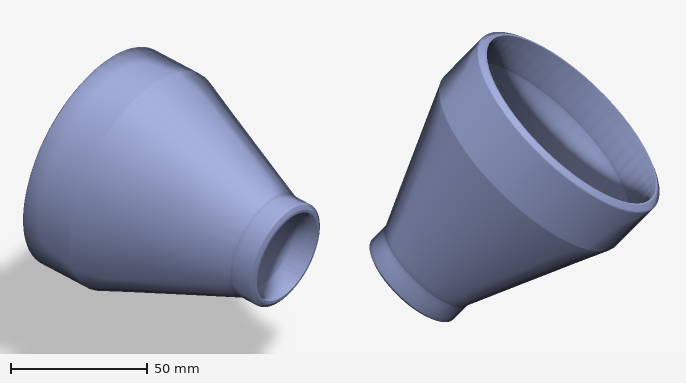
import cadquery as cq
import math

length = 90.0
large_outer_radius = 88.9 / 2
large_bore_radius = 82.5 / 2
small_outer_radius = 42.0 / 2
small_bore_radius = 36.0 / 2
large_end_length = 23.0
small_end_length = 9.7
large_bore_depth = 14.85

bevel_angle = math.radians(30)
large_land = 0.8
small_land = 1.1

edge_round = 1.0
selection_margin = 0.1


def bevel_depth(outer_radius, bore_radius, land):
    """Axial depth of the bevel that leaves the flat land on the end face."""
    return (outer_radius - bore_radius - land) * math.tan(bevel_angle)


def edge_at(x, radius):
    """Selector for the circular edge of the given radius at axial position x."""
    reach = radius + selection_margin
    low_corner = (x - selection_margin, -reach, -reach)
    high_corner = (x + selection_margin, reach, reach)
    return cq.selectors.BoxSelector(low_corner, high_corner, boundingbox=True)


large_bevel_end = bevel_depth(large_outer_radius, large_bore_radius, large_land)
small_bevel_start = length - bevel_depth(small_outer_radius, small_bore_radius, small_land)
cone_end = length - small_end_length

wall_section = (
    cq.Workplane("XY")
    .moveTo(0, large_bore_radius)
    .lineTo(0, large_bore_radius + large_land)
    .lineTo(large_bevel_end, large_outer_radius)
    .lineTo(large_end_length, large_outer_radius)
    .lineTo(cone_end, small_outer_radius)
    .lineTo(small_bevel_start, small_outer_radius)
    .lineTo(length, small_bore_radius + small_land)
    .lineTo(length, small_bore_radius)
    .lineTo(cone_end, small_bore_radius)
    .lineTo(large_bore_depth, large_bore_radius)
    .close()
)
reducer = wall_section.revolve(360, (0, 0, 0), (1, 0, 0))

rounded_edges = (
    edge_at(large_bevel_end, large_outer_radius)
    + edge_at(large_end_length, large_outer_radius)
    + edge_at(small_bevel_start, small_outer_radius)
)
result = reducer.edges(rounded_edges).fillet(edge_round)